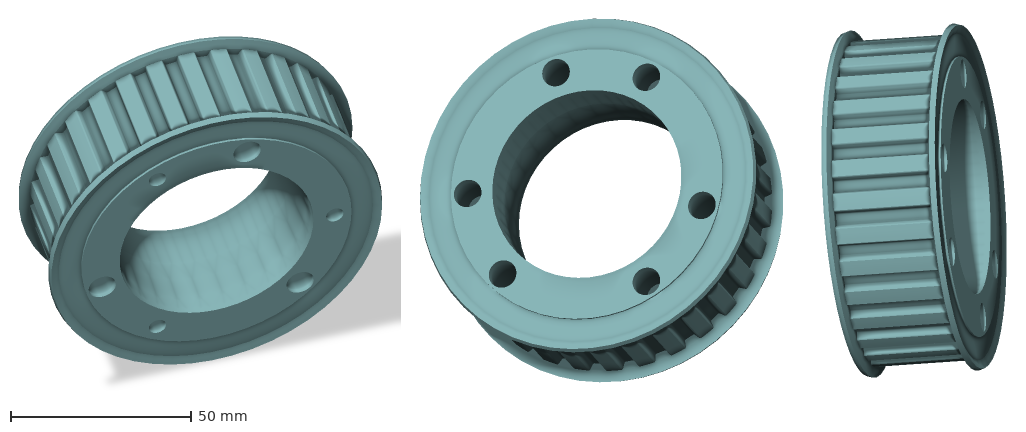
import cadquery as cq
import math

width = 32.1
flange_radius = 48.3

tooth_count = 30
land_radius = 45.3
groove_depth = 2.2
groove_floor_half_width = 1.5
groove_flank_angle = 20.0
groove_floor_fillet = 0.5
groove_edge_fillet = 0.8

flange_thickness = 1.5
flare_inner_radius = 45.4
flare_length = 0.9
flange_edge_drop = 0.5
flare_outer_radius = flange_radius - flange_edge_drop

hub_radius = 39.0
hub_height = 0.7

bore_radius = 27.1
bore_end_radius = 28.0
taper_length = 18.8

bolt_circle_radius = 34.2
holes_per_set = 3
clearance_hole_radius = 4.0
clearance_hole_angle = 75.0
screw_hole_radius = 2.5
screw_hole_angle = 0.0
counterbore_depth = 15.4

end_x = width / 2
face_x = end_x - flare_length
rim_x = face_x - flange_thickness
hub_x = face_x + hub_height


def revolve_about_x(points):
    """Solid of revolution from (x, radius) points."""
    return cq.Workplane("XY").polyline(points).close().revolve(360, (0, 0, 0), (1, 0, 0))


def cylinder(radius, x_start, x_end, y=0, z=0):
    """Cylinder parallel to X with its axis at (y, z)."""
    return cq.Workplane("YZ", origin=(x_start, y, z)).circle(radius).extrude(x_end - x_start)


def groove_cutter():
    """Trapezoidal belt groove at +Z, rounded at the floor and where it meets the land."""
    flank = math.radians(groove_flank_angle)
    floor_z = land_radius - groove_depth
    edge_half_width = groove_floor_half_width + groove_depth * math.tan(flank)
    fillet_turn = math.pi / 4 - flank / 2

    def fillet_points(corner_y, corner_z, radius, side):
        """Level tangent point, mid-arc point and flank tangent point of one fillet; side is
        +1 for the floor fillet and -1 for the edge fillet."""
        tangent = radius * math.tan(fillet_turn)
        centre_y = corner_y - side * tangent
        centre_z = corner_z + side * radius
        level = (corner_y - side * tangent, corner_z)
        middle = (
            centre_y + side * radius * math.sin(fillet_turn),
            centre_z - side * radius * math.cos(fillet_turn),
        )
        on_flank = (
            corner_y + side * tangent * math.sin(flank),
            corner_z + side * tangent * math.cos(flank),
        )
        return level, middle, on_flank

    floor_end, floor_mid, flank_start = fillet_points(
        groove_floor_half_width, floor_z, groove_floor_fillet, 1
    )
    edge_end, edge_mid, flank_end = fillet_points(
        edge_half_width, land_radius, groove_edge_fillet, -1
    )
    top_z = land_radius + groove_depth

    def mirrored(point):
        return (-point[0], point[1])

    return (
        cq.Workplane("YZ", origin=(-rim_x, 0, 0))
        .moveTo(*mirrored(floor_end))
        .lineTo(*floor_end)
        .threePointArc(floor_mid, flank_start)
        .lineTo(*flank_end)
        .threePointArc(edge_mid, edge_end)
        .lineTo(edge_end[0], top_z)
        .lineTo(-edge_end[0], top_z)
        .lineTo(*mirrored(edge_end))
        .threePointArc(mirrored(edge_mid), mirrored(flank_end))
        .lineTo(*mirrored(flank_start))
        .threePointArc(mirrored(floor_mid), mirrored(floor_end))
        .close()
        .extrude(2 * rim_x)
    )


def toothed_rim():
    rim = cylinder(land_radius, -rim_x, rim_x)
    groove = groove_cutter().val()
    pitch_angle = 360 / tooth_count
    grooves = [
        groove.rotate(cq.Vector(0, 0, 0), cq.Vector(1, 0, 0), (i + 0.5) * pitch_angle)
        for i in range(tooth_count)
    ]
    return rim.cut(cq.Compound.makeCompound(grooves))


def flange():
    """Disc on the +X side whose outer edge flares away from the teeth."""
    return revolve_about_x(
        [
            (rim_x, 0),
            (rim_x, flare_inner_radius),
            (end_x - flange_thickness, flange_radius),
            (end_x, flare_outer_radius),
            (face_x, flare_inner_radius),
            (face_x, 0),
        ]
    )


def bore():
    taper_start_x = hub_x - taper_length
    return revolve_about_x(
        [
            (-hub_x, 0),
            (-hub_x, bore_radius),
            (taper_start_x, bore_radius),
            (hub_x, bore_end_radius),
            (hub_x, 0),
        ]
    )


def bolt_hole_set(radius, first_angle, x_end):
    """Equally spaced holes from the -X hub face to x_end; angles run from +Y towards +Z."""
    holes = []
    for i in range(holes_per_set):
        angle = math.radians(first_angle + i * 360 / holes_per_set)
        y = bolt_circle_radius * math.cos(angle)
        z = bolt_circle_radius * math.sin(angle)
        holes.append(cylinder(radius, -hub_x, x_end, y, z).val())
    return cq.Compound.makeCompound(holes)


plus_x_flange = flange()
pulley = (
    toothed_rim()
    .union(plus_x_flange)
    .union(plus_x_flange.mirror("YZ"))
    .union(cylinder(hub_radius, -hub_x, hub_x))
)

result = (
    pulley.cut(bore())
    .cut(bolt_hole_set(clearance_hole_radius, clearance_hole_angle, hub_x))
    .cut(bolt_hole_set(screw_hole_radius, screw_hole_angle, hub_x))
    .cut(bolt_hole_set(clearance_hole_radius, screw_hole_angle, counterbore_depth - hub_x))
)